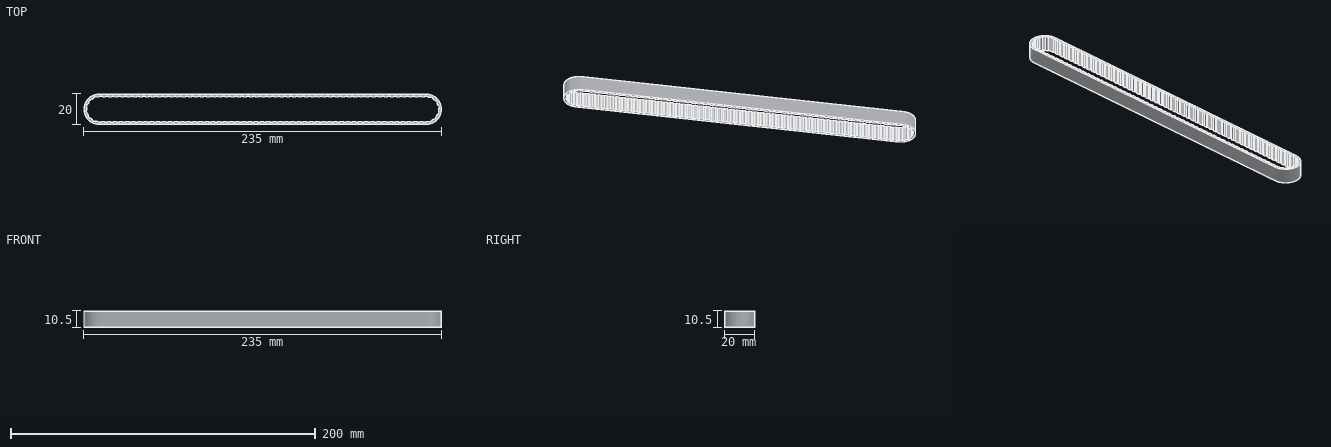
import cadquery as cq
import math


length = 235.0
end_width = 20.0
height = 10.5
band_thickness = 1.5
tooth_count = 120
tooth_depth = 0.5
tip_width = 1.6
flank_run = 0.7
first_tooth = 2.4
embed = 0.2

outer_radius = end_width / 2
root_radius = outer_radius - band_thickness
run_length = length - end_width
root_length = 2 * run_length + 2 * math.pi * root_radius
pitch = root_length / tooth_count
root_width = tip_width + 2 * flank_run


def make_band():
    outside = cq.Workplane("XY").slot2D(length, end_width).extrude(height)
    opening = cq.Workplane("XY").slot2D(length - 2 * band_thickness, 2 * root_radius).extrude(height)
    return outside.cut(opening)


def tooth_plane(distance):
    """Plane at a distance along the root line: local X along the belt, local Y inward.

    Distances run counterclockwise from the -X end of the front straight run.
    """
    half_loop = root_length / 2
    on_second_half = distance >= half_loop
    along = distance % half_loop

    if along < run_length:
        angle = 0.0
        centre_x = along - run_length / 2
    else:
        angle = (along - run_length) / root_radius
        centre_x = run_length / 2
    x = centre_x + root_radius * math.sin(angle)
    y = -root_radius * math.cos(angle)

    if on_second_half:
        x, y = -x, -y
        angle += math.pi
    return cq.Plane(origin=(x, y, 0), xDir=(math.cos(angle), math.sin(angle), 0), normal=(0, 0, 1))


def make_tooth(distance):
    profile = [
        (-root_width / 2, -embed),
        (-root_width / 2, 0),
        (-tip_width / 2, tooth_depth),
        (tip_width / 2, tooth_depth),
        (root_width / 2, 0),
        (root_width / 2, -embed),
    ]
    return cq.Workplane(tooth_plane(distance)).polyline(profile).close().extrude(height)


teeth = [make_tooth(first_tooth + i * pitch).val() for i in range(tooth_count)]
fused = make_band().val().fuse(*teeth).clean()
result = cq.Workplane("XY").newObject(fused.Solids())